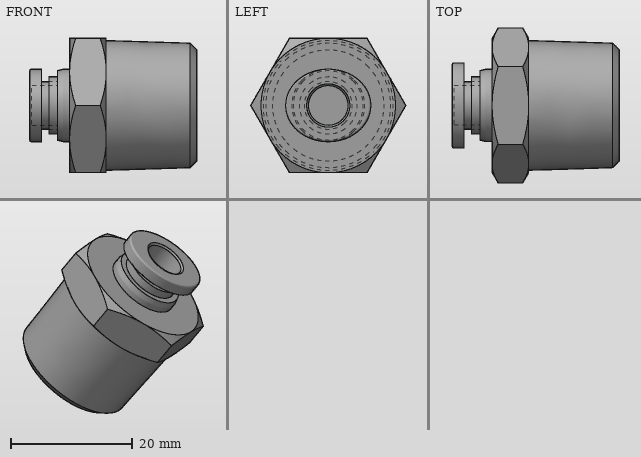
import cadquery as cq
import math

LENGTH = 27.6
FLANGE_WIDTH = 14.08
FLANGE_HEIGHT = 12.0
FLANGE_THICKNESS = 2.0
FLANGE_ROUND = 0.3
STEM_DIAMETER = 7.9
BORE_DIAMETER = 6.55
BORE_DEPTH = 4.58
MOUTH_CHAMFER = 0.3

COLLAR_START = 3.15
COLLAR_DIAMETER = 9.5
BOSS_START = 4.58
BOSS_DIAMETER = 12.0
BOSS_TAPER_LENGTH = 1.0
BOSS_TAPER_DROP = 0.25
HEX_START = 6.6
HEX_END = 12.65
HEX_ACROSS_FLATS = 22.22
HEX_CHAMFER_ANGLE = 30.0
SHANK_START_DIAMETER = 21.47
SHANK_TAPER = 1 / 16
SHANK_CHAMFER = 1.1


def revolve_about_x(points):
    """Revolve a closed (x, radius) outline about the X axis."""
    return cq.Workplane("XY").polyline(points).close().revolve(360, (0, 0, 0), (1, 0, 0))


def rod(diameter, start, end):
    """Round bar on the X axis."""
    return cq.Workplane("YZ").workplane(offset=start).circle(diameter / 2).extrude(end - start)


def make_hexagon():
    """Hexagon with flats on top and bottom and its corners chamfered on both faces."""
    across_corners = HEX_ACROSS_FLATS / math.cos(math.radians(30))
    hexagon = (
        cq.Workplane("YZ")
        .workplane(offset=HEX_START)
        .polygon(6, across_corners)
        .extrude(HEX_END - HEX_START)
    )
    face_radius = HEX_ACROSS_FLATS / 2
    corner_radius = across_corners / 2
    chamfer_length = (corner_radius - face_radius) * math.tan(math.radians(HEX_CHAMFER_ANGLE))
    envelope = revolve_about_x([
        (HEX_START, 0),
        (HEX_START, face_radius),
        (HEX_START + chamfer_length, corner_radius),
        (HEX_END - chamfer_length, corner_radius),
        (HEX_END, face_radius),
        (HEX_END, 0),
    ])
    return hexagon.intersect(envelope)


def make_shank():
    """Tapered shank with a chamfered end."""
    chamfer_start = LENGTH - SHANK_CHAMFER
    start_radius = SHANK_START_DIAMETER / 2
    end_radius = start_radius - (chamfer_start - HEX_END) * SHANK_TAPER / 2
    return revolve_about_x([
        (HEX_END, 0),
        (HEX_END, start_radius),
        (chamfer_start, end_radius),
        (LENGTH, end_radius - SHANK_CHAMFER),
        (LENGTH, 0),
    ])


def make_boss():
    """Collar and larger boss with a tapered leading edge."""
    boss_radius = BOSS_DIAMETER / 2
    return revolve_about_x([
        (COLLAR_START, 0),
        (COLLAR_START, COLLAR_DIAMETER / 2),
        (BOSS_START, COLLAR_DIAMETER / 2),
        (BOSS_START, boss_radius - BOSS_TAPER_DROP),
        (BOSS_START + BOSS_TAPER_LENGTH, boss_radius),
        (HEX_START, boss_radius),
        (HEX_START, 0),
    ])


def make_fitting_body():
    """Body with a blind socket that the sleeve stem fills."""
    body = make_boss().union(make_hexagon()).union(make_shank())
    return body.cut(rod(STEM_DIAMETER, COLLAR_START, BORE_DEPTH))


def make_release_sleeve():
    """Oval flange and stem, with a through bore chamfered at its mouth."""
    flange = (
        cq.Workplane("YZ")
        .ellipse(FLANGE_WIDTH / 2, FLANGE_HEIGHT / 2)
        .extrude(FLANGE_THICKNESS)
        .faces("<X")
        .edges()
        .fillet(FLANGE_ROUND)
    )
    sleeve = flange.union(rod(STEM_DIAMETER, FLANGE_THICKNESS, BORE_DEPTH))
    sleeve = sleeve.cut(rod(BORE_DIAMETER, 0, BORE_DEPTH))
    bore_radius = BORE_DIAMETER / 2
    mouth = revolve_about_x([(0, 0), (0, bore_radius + MOUTH_CHAMFER), (MOUTH_CHAMFER, bore_radius),
                             (MOUTH_CHAMFER, 0)])
    return sleeve.cut(mouth)


fitting_body = make_fitting_body()
release_sleeve = make_release_sleeve()
result = cq.Compound.makeCompound([fitting_body.val(), release_sleeve.val()])